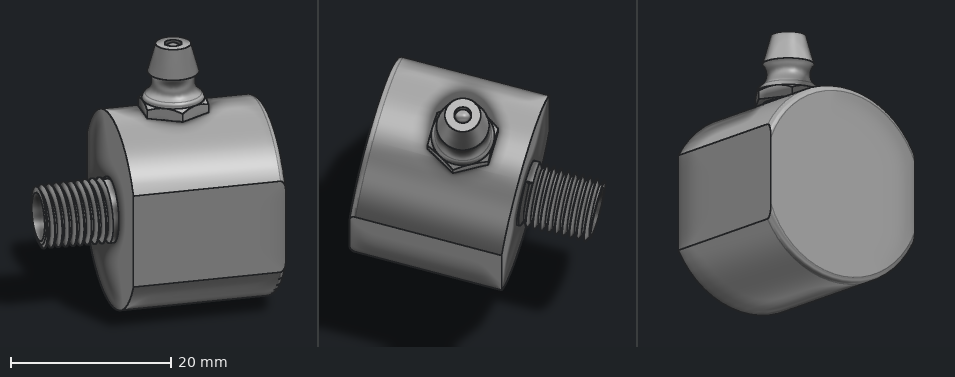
import cadquery as cq
import math

BODY_DIAMETER = 25.4
BODY_WIDTH = 22.25
BODY_LENGTH = 19.77
BACK_EDGE_RADIUS = 0.75

STUD_LENGTH = 9.32
STUD_BASE_DIAMETER = 8.35
STUD_TIP_DIAMETER = 8.02
BORE_DIAMETER = 6.1
BORE_DEPTH = STUD_LENGTH
THREAD_TURNS = 9.9
THREAD_PITCH = STUD_LENGTH / THREAD_TURNS
THREAD_DEPTH = 0.75
THREAD_ANGLE = 60
GROOVE_OVERCUT = 0.1

OVERALL_HEIGHT = 34.27
NIPPLE_Y = 8.15
STEM_DIAMETER = 6.35
STEM_DEPTH = BODY_DIAMETER / 4
HEX_FLATS = 7.9
HEX_HEIGHT = 1.58
HEX_CORNER_DROP = 0.48
COLLAR_DIAMETER = HEX_FLATS
COLLAR_HEIGHT = 0.72
NECK_DIAMETER = 5.52
NECK_ARC_RADIUS = 3.8 / 2
NECK_FOOT_DIAMETER = 7.13
HEAD_BASE_DIAMETER = 6.58
HEAD_TOP_DIAMETER = 4.5
BALL_DIAMETER = 2.15

BODY_RADIUS = BODY_DIAMETER / 2
NIPPLE_HEIGHT = OVERALL_HEIGHT - BODY_DIAMETER


def make_body():
    """Cylinder with a rounded back edge, then cut to width by two flats."""
    cylinder = cq.Workplane("XZ").circle(BODY_RADIUS).extrude(-BODY_LENGTH)
    cylinder = cylinder.faces(">Y").edges().fillet(BACK_EDGE_RADIUS)
    slab = cq.Workplane("XY").box(BODY_WIDTH, BODY_LENGTH, BODY_DIAMETER)
    return cylinder.intersect(slab.translate((0, BODY_LENGTH / 2, 0)))


def make_thread_groove():
    """Right-hand V groove on a cone, starting above the axis (+Z) and running out past the tip."""
    base_radius = STUD_BASE_DIAMETER / 2
    taper = (STUD_BASE_DIAMETER - STUD_TIP_DIAMETER) / 2 / STUD_LENGTH
    half_width = (THREAD_DEPTH + GROOVE_OVERCUT) * math.tan(math.radians(THREAD_ANGLE / 2))
    first_root = THREAD_PITCH / 2
    helix = cq.Wire.makeHelix(
        THREAD_PITCH,
        STUD_LENGTH + THREAD_PITCH,
        base_radius,
        angle=-math.degrees(math.atan(taper)),
    )
    profile = cq.Workplane("XZ").polyline([
        (base_radius - THREAD_DEPTH, 0),
        (base_radius + GROOVE_OVERCUT, half_width),
        (base_radius + GROOVE_OVERCUT, -half_width),
    ]).close()
    groove = profile.sweep(cq.Workplane(helix), isFrenet=True)
    stud_plane = cq.Plane(origin=(0, -first_root, 0), xDir=(0, 0, 1), normal=(0, -1, 0))
    return cq.Workplane(groove.val().moved(cq.Location(stud_plane)))


def make_stud():
    """Tapered stud with its thread cut in."""
    blank = (
        cq.Workplane("XY")
        .polyline([
            (0, 0),
            (STUD_BASE_DIAMETER / 2, 0),
            (STUD_TIP_DIAMETER / 2, -STUD_LENGTH),
            (0, -STUD_LENGTH),
        ])
        .close()
        .revolve(360, (0, 0), (0, 1))
    )
    return blank.cut(make_thread_groove())


def make_hexagon():
    """Hexagon with a corner along X and its upper corners turned down to a cone."""
    corner_diameter = HEX_FLATS / math.cos(math.radians(30))
    prism = cq.Workplane("XY").polygon(6, corner_diameter).extrude(HEX_HEIGHT)
    turned = (
        cq.Workplane("XZ")
        .polyline([
            (0, 0),
            (corner_diameter / 2, 0),
            (corner_diameter / 2, HEX_HEIGHT - HEX_CORNER_DROP),
            (HEX_FLATS / 2, HEX_HEIGHT),
            (0, HEX_HEIGHT),
        ])
        .close()
        .revolve(360, (0, 0), (0, 1))
    )
    return prism.intersect(turned)


def make_head():
    """Rounded collar, waisted neck and conical head, with a core filling the hexagon below."""
    collar_radius = COLLAR_DIAMETER / 2
    neck_radius = NECK_DIAMETER / 2
    foot_radius = NECK_FOOT_DIAMETER / 2
    head_radius = HEAD_BASE_DIAMETER / 2
    arc_centre = neck_radius + NECK_ARC_RADIUS

    def arc_reach(radius):
        """Height between the waist and the point of the neck arc at this radius."""
        return math.sqrt(NECK_ARC_RADIUS**2 - (arc_centre - radius)**2)

    collar_top = HEX_HEIGHT + COLLAR_HEIGHT
    waist = collar_top + arc_reach(foot_radius)
    head_base = waist + arc_reach(head_radius)
    return (
        cq.Workplane("XZ")
        .moveTo(0, 0)
        .lineTo(collar_radius, 0)
        .lineTo(collar_radius, HEX_HEIGHT)
        .tangentArcPoint((foot_radius, collar_top), relative=False)
        .threePointArc((neck_radius, waist), (head_radius, head_base))
        .lineTo(HEAD_TOP_DIAMETER / 2, NIPPLE_HEIGHT)
        .lineTo(0, NIPPLE_HEIGHT)
        .close()
        .revolve(360, (0, 0), (0, 1))
    )


def make_nipple():
    """Stem sunk into the body, hexagon and head, with the check ball set flush in the top."""
    stem = cq.Workplane("XY").circle(STEM_DIAMETER / 2).extrude(-STEM_DEPTH)
    nipple = make_hexagon().union(make_head()).union(stem)
    ball_radius = BALL_DIAMETER / 2
    socket = (
        cq.Workplane("XY", origin=(0, 0, NIPPLE_HEIGHT))
        .circle(ball_radius)
        .extrude(-ball_radius)
    )
    ball = cq.Workplane("XY").sphere(ball_radius).translate((0, 0, NIPPLE_HEIGHT - ball_radius))
    nipple = nipple.cut(socket.cut(ball))
    return nipple.translate((0, NIPPLE_Y, BODY_RADIUS))


def make_bore():
    """Blind bore entering from the tip of the stud."""
    return (
        cq.Workplane("XZ", origin=(0, -STUD_LENGTH, 0))
        .circle(BORE_DIAMETER / 2)
        .extrude(-BORE_DEPTH)
    )


result = make_body().union(make_stud()).union(make_nipple()).cut(make_bore())